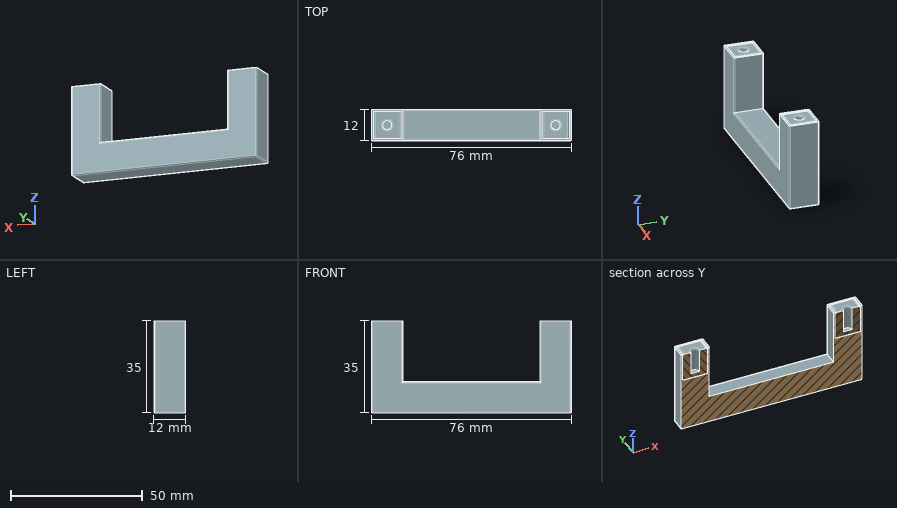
import cadquery as cq

handle_length = 76.0
handle_height = 35.0
section = 12.0
edge_radius = 0.5
leg_spacing = handle_length - section
opening_width = leg_spacing - section
leg_x_positions = (-leg_spacing / 2, leg_spacing / 2)

pocket_wall = 0.8
insert_width = section - 2 * pocket_wall
insert_depth = 12.0
insert_edge_radius = 0.75

hole_diameter = 3.4
hole_depth = 10.0
hole_mouth_radius = 0.5


def insert_envelope(x):
    """Square block that fills the pocket of the leg at x."""
    return (
        cq.Workplane("XY", origin=(x, 0, handle_height - insert_depth))
        .rect(insert_width, insert_width)
        .extrude(insert_depth)
    )


def make_handle():
    """U-shaped body, rounded along its long edges, with a pocket in each leg end."""
    half_length = handle_length / 2
    half_opening = opening_width / 2
    body = (
        cq.Workplane("XZ", origin=(0, section / 2, 0))
        .moveTo(-half_length, 0)
        .lineTo(half_length, 0)
        .lineTo(half_length, handle_height)
        .lineTo(half_opening, handle_height)
        .lineTo(half_opening, section)
        .lineTo(-half_opening, section)
        .lineTo(-half_opening, handle_height)
        .lineTo(-half_length, handle_height)
        .close()
        .extrude(section)
    )
    side_edges = body.faces("<Y or >Y").edges("not >Z")
    bottom_corners = body.faces("<Z").edges("|Y")
    body = body.newObject(side_edges.vals() + bottom_corners.vals()).fillet(edge_radius)
    for x in leg_x_positions:
        body = body.cut(insert_envelope(x))
    return body


def make_insert(x):
    """Insert block with two rounded top edges and a blind hole with a rounded mouth."""
    block = insert_envelope(x).faces(">Z").edges("|Y").fillet(insert_edge_radius)
    hole = (
        cq.Workplane("XY", origin=(x, 0, handle_height))
        .circle(hole_diameter / 2)
        .extrude(-hole_depth)
    )
    return block.cut(hole).faces(">Z").edges("%CIRCLE").fillet(hole_mouth_radius)


handle = make_handle()
inserts = [make_insert(x) for x in leg_x_positions]

result = cq.Compound.makeCompound([handle.val(), *[insert.val() for insert in inserts]])